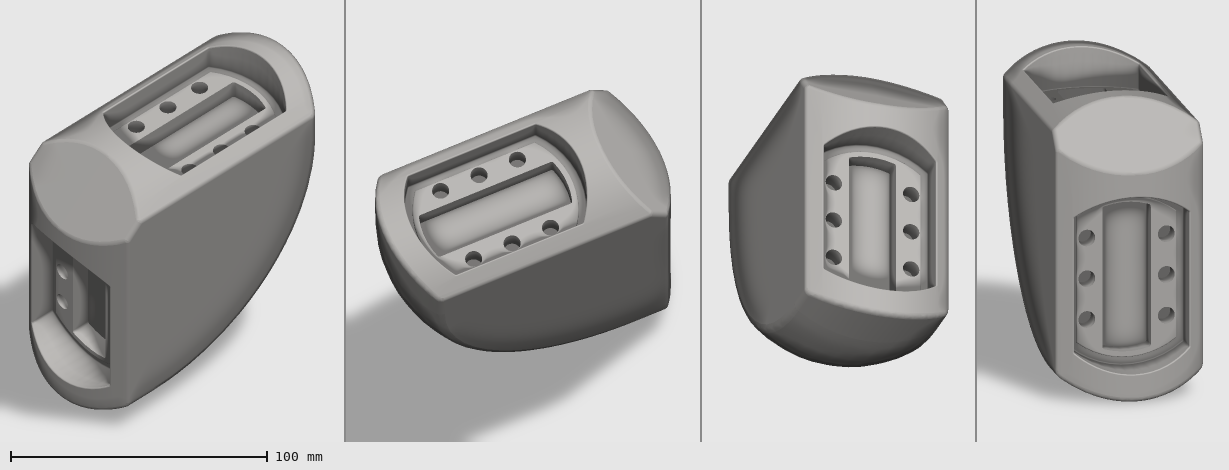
import cadquery as cq

width = 59.0
size = 117.0
crown_drop = 10.1
back_radius = 93.6
corner_cut = 24.8
cut_ridge_fall = 0.5
back_edge_radius = 4.0
edge_radius = 2.0

recess_offset = 70.2
recess_depth = 16.6
recess_width = 45.9
recess_radius = 35.6
recess_corner_radius = 1.0
pad_width = 40.0
pad_radius = 32.4
pad_height = 1.0
soft_radius = 0.5
well_width = 19.3
well_radius = 30.1
well_depth = 8.0
well_corner_radius = 1.0

hole_diameter = 6.7
hole_depth = 8.0
hole_rows = 2
hole_spacing = 31.7
hole_pitch = 16.4
holes_per_row = 3

half_width = width / 2
round_center = size - back_radius


def lens_prism(plane, distance):
    """Full crowned profile, two arcs and two flat sides; local y runs from -size to 0."""
    return (
        cq.Workplane(plane)
        .moveTo(-half_width, -crown_drop)
        .threePointArc((0, 0), (half_width, -crown_drop))
        .lineTo(half_width, crown_drop - size)
        .threePointArc((0, -size), (-half_width, crown_drop - size))
        .close()
        .extrude(distance)
    )


def quarter_round():
    """Half of the crowned profile swept a quarter turn between the back and the bottom."""
    return (
        cq.Workplane("XY")
        .workplane(offset=-round_center)
        .moveTo(-half_width, round_center)
        .lineTo(half_width, round_center)
        .lineTo(half_width, size - crown_drop)
        .threePointArc((0, size), (-half_width, size - crown_drop))
        .close()
        .revolve(90, (0, round_center), (-1, round_center))
    )


def crowned_body():
    """Two crossed crowned prisms, rounded at the back bottom and cut at the front top."""
    along_y = lens_prism("XZ", -size)
    along_z = lens_prism(cq.Plane((0, 0, 0), (1, 0, 0), (0, 0, -1)), size)
    square_corner = (
        cq.Workplane("XY")
        .box(width, back_radius, back_radius, centered=(True, False, False))
        .translate((0, round_center, -size))
    )
    cut_middle = cq.Plane((0, corner_cut / 2, -corner_cut / 2), (1, 0, 0), (0, -1, -1))
    cut_wedge = (
        cq.Workplane(cut_middle)
        .moveTo(0, 0)
        .lineTo(half_width, -cut_ridge_fall)
        .lineTo(half_width, corner_cut)
        .lineTo(-half_width, corner_cut)
        .lineTo(-half_width, -cut_ridge_fall)
        .close()
        .extrude(corner_cut, both=True)
    )
    body = along_y.intersect(along_z).cut(square_corner).union(quarter_round())
    return body.cut(cut_wedge)


def box_between(low, high):
    """Selects what is centred between two (y, z) corners, across the full width."""
    return cq.selectors.BoxSelector((-width, *low), (width, *high))


def round_body_edges(body):
    """Round the side edges along the back and the bottom, then the front, top and end edges."""
    band = corner_cut / 2 + edge_radius
    behind = box_between((band, -size), (size, -band))
    body = body.faces("<X or >X").edges(behind).fillet(back_edge_radius)

    front = box_between((0, -size), (band, 0))
    top = box_between((0, -band), (size, 0))
    ridge = cq.selectors.BoxSelector((-edge_radius, 0, -band), (edge_radius, band, 0))
    return body.edges(front + top - ridge).fillet(edge_radius)


def trimmed_disc(strip_width, radius, height, corner_radius):
    """Disc trimmed to a strip along local y, standing on the XY plane."""
    disc = cq.Workplane("XY").circle(radius).extrude(height)
    strip = cq.Workplane("XY").rect(strip_width, 2 * radius).extrude(height)
    return disc.intersect(strip).edges("|Z").fillet(corner_radius)


def recess_cutter():
    """Volume removed from one face; the face lies on the XY plane with its outside along +Z."""
    opening = trimmed_disc(recess_width, recess_radius, recess_depth, recess_corner_radius)
    opening = opening.faces("<Z").edges().fillet(soft_radius).translate((0, 0, -recess_depth))
    pad = trimmed_disc(pad_width, pad_radius, pad_height, soft_radius)
    pad = pad.faces(">Z").edges().fillet(soft_radius).translate((0, 0, -recess_depth))
    pad_top = pad_height - recess_depth
    well = trimmed_disc(well_width, well_radius, well_depth, well_corner_radius)
    well = well.translate((0, 0, pad_top - well_depth))
    holes = (
        cq.Workplane("XY")
        .workplane(offset=pad_top)
        .rarray(hole_spacing, hole_pitch, hole_rows, holes_per_row)
        .circle(hole_diameter / 2)
        .extrude(-hole_depth)
    )
    return opening.cut(pad).union(well).union(holes)


def cut_recess(body, face_plane):
    """Cut a recess in the face and round its rim."""
    location = cq.Location(face_plane)
    body = body.cut(cq.Workplane(recess_cutter().val().moved(location)))

    rim_block = cq.Workplane("XY").box(width, 2 * recess_radius + soft_radius, recess_depth)
    zone = rim_block.val().moved(location).BoundingBox()
    rim = cq.selectors.BoxSelector(
        (zone.xmin + edge_radius, zone.ymin, zone.zmin),
        (zone.xmax - edge_radius, zone.ymax, zone.zmax),
    )
    return body.edges(rim).fillet(soft_radius)


front_face = cq.Plane((0, 0, -recess_offset), (1, 0, 0), (0, -1, 0))
top_face = cq.Plane((0, recess_offset, 0), (1, 0, 0), (0, 0, 1))

result = round_body_edges(crowned_body())
for face in (front_face, top_face):
    result = cut_recess(result, face)